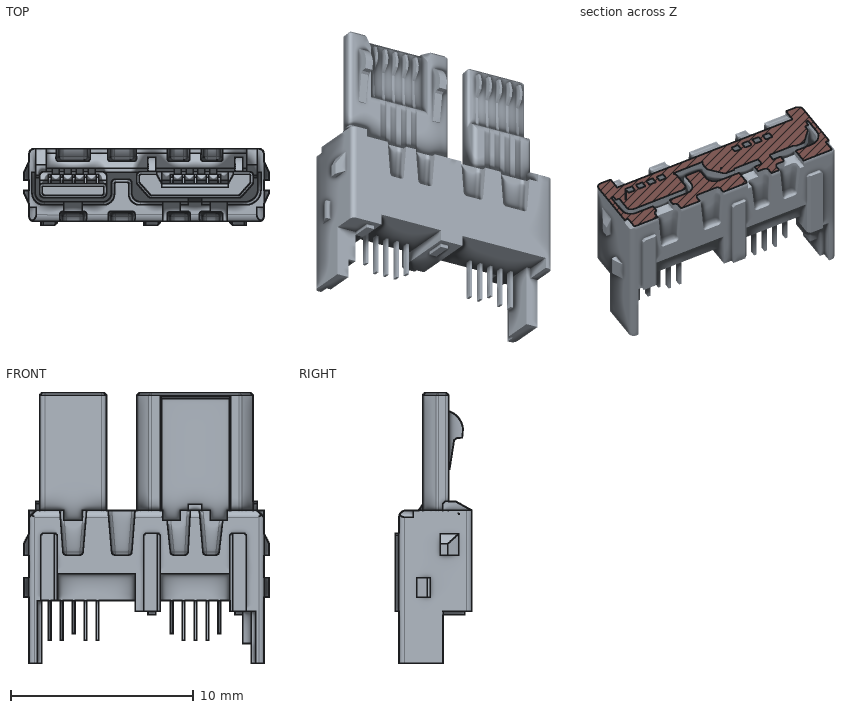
import cadquery as cq
import math


HALF_WIDTH = 6.45
DEPTH = 4.0
FLOOR_Z = 3.45
BLOCK_Z = 2.85
TOP_Z = 8.39
PLUG_Z = 14.85
MIDDLE_BLOCK = (-0.62, 0.74)
RIGHT_BLOCK = 4.57
HUMP_X = (5.51, 6.07)
CORNER_R = 0.3
TOP_ROUND = 0.39
OVERLAP = 0.15

WALL = 0.45
LEG_DEPTH = 2.42
LEG_THICK = 0.71
LEG_PAD_Y = 0.56

PLUG_FRONT = 1.29
PLUG_REAR = 2.73
PLATE_REAR = 2.08
STEP_Z = 11.27
USB_X = (-5.87, -2.18)
WIDE_X = (-0.53, 5.85)
TIP_CHAMFER = 0.15

CAVITY_Z = 5.94
CAVITY_HALF = 6.1
CAVITY_FRONT = 1.08
CAVITY_REAR = 2.7
LEAD_IN = 0.18
LEAD_IN_DEPTH = 0.35

PITCH = 0.65
PIN_WIDTH = 0.15
PIN_COUNT = 5
PIN_STARTS = (-5.3, 1.38)
SHORT_PINS = ((2,), (0, 4))

LATCH_X = (0.3, 5.06)
LATCH_WIDTH = 0.45


def box(x0, x1, y0, y1, z0, z1):
    """Block given by its limits along each axis."""
    return cq.Workplane("XY").box(x1 - x0, y1 - y0, z1 - z0, centered=False).translate((x0, y0, z0))


def prism_x(points, x0, x1):
    """Outline of (y, z) points, running from x0 to x1."""
    return cq.Workplane("YZ").polyline(points).close().extrude(x1 - x0).translate((x0, 0, 0))


def prism_z(points, z0, z1):
    """Outline of (x, y) points, running from z0 to z1."""
    return cq.Workplane("XY").polyline(points).close().extrude(z1 - z0).translate((0, 0, z0))


def both_sides(piece):
    """The piece together with its mirror image in X."""
    return piece.union(piece.mirror("YZ"))


def housing_shell():
    """Solid housing with its legs and rounded corners."""
    block = box(-HALF_WIDTH, HALF_WIDTH, 0, DEPTH, 0, TOP_Z)
    round_top = block.faces(">Z").edges("<Y").fillet(TOP_ROUND)
    shell = block.edges("|Z").fillet(CORNER_R).intersect(round_top)

    wall_x = HALF_WIDTH - WALL
    leg_x = HALF_WIDTH - LEG_THICK
    shell = shell.cut(box(-leg_x, leg_x, -OVERLAP, DEPTH + OVERLAP, 0, BLOCK_Z))
    shell = shell.cut(box(-HALF_WIDTH, HALF_WIDTH, LEG_DEPTH, DEPTH + OVERLAP, 0, BLOCK_Z))
    shell = shell.cut(both_sides(box(leg_x, wall_x, -OVERLAP, LEG_PAD_Y, 0, BLOCK_Z)))

    shell = shell.cut(box(-leg_x, MIDDLE_BLOCK[0], -OVERLAP, DEPTH + OVERLAP, 0, FLOOR_Z))
    shell = shell.cut(box(-wall_x, -leg_x, -OVERLAP, LEG_PAD_Y, 0, FLOOR_Z))
    shell = shell.cut(box(-wall_x, -leg_x, LEG_DEPTH, DEPTH + OVERLAP, 0, FLOOR_Z))
    shell = shell.cut(box(MIDDLE_BLOCK[1], RIGHT_BLOCK, -OVERLAP, DEPTH + OVERLAP, 0, FLOOR_Z))
    return shell


def leg_block():
    """Block along the inner side of the right leg."""
    inner_x, front_y, bottom_z = 5.27, 0.85, 1.08
    return box(inner_x, HALF_WIDTH - OVERLAP, front_y, LEG_DEPTH, bottom_z, BLOCK_Z + OVERLAP)


def front_panels():
    """Set-back panels low on the front face."""
    panel_top = 4.92
    set_back = 0.7
    panel_left = -4.87
    left = box(panel_left, MIDDLE_BLOCK[0], -OVERLAP, set_back, 0, panel_top)
    right = box(MIDDLE_BLOCK[1], RIGHT_BLOCK, -OVERLAP, set_back, 0, panel_top)
    return left.union(right)


def corner_bevels():
    """Bevels on the ends of the top edge, at the front corners."""
    width, height, length = 0.4, 0.37, 0.77
    bevel = (
        cq.Workplane("XZ")
        .polyline([(HALF_WIDTH - width, TOP_Z), (HALF_WIDTH, TOP_Z), (HALF_WIDTH, TOP_Z - height)])
        .close()
        .extrude(-length)
    )
    return both_sides(bevel)


def rear_slope():
    """Wedge that lowers the rear wall between the two end humps."""
    ridge_y, low_y, low_z = 2.93, 3.74, 7.96
    half = HUMP_X[0]
    points = [(ridge_y, TOP_Z), (low_y, low_z), (DEPTH + OVERLAP, low_z),
              (DEPTH + OVERLAP, TOP_Z + OVERLAP), (ridge_y, TOP_Z + OVERLAP)]
    return prism_x(points, -half, half)


def cavity():
    """Opening around the plugs, with a tongue between them and a sloped lead-in at its mouth."""
    tongue_left, tongue_right, tongue_rear = -1.93, -0.8, 2.32
    tongue_r, left_r, right_r, foot_r = 0.22, 0.49, 0.67, 0.45
    near = 0.01
    opening = box(-CAVITY_HALF, CAVITY_HALF, CAVITY_FRONT, CAVITY_REAR, CAVITY_Z, TOP_Z)
    opening = opening.edges("|Z and <Y and <X").fillet(left_r).edges("|Z and <Y and >X").fillet(right_r)
    tongue = box(tongue_left, tongue_right, CAVITY_FRONT, tongue_rear, CAVITY_Z, TOP_Z)
    opening = opening.cut(tongue.edges("|Z and >Y").fillet(tongue_r))
    foot_edges = cq.selectors.BoxSelector((tongue_left - near, CAVITY_FRONT - near, CAVITY_Z),
                                          (tongue_right + near, CAVITY_FRONT + near, TOP_Z))
    opening = opening.edges("|Z").edges(foot_edges).fillet(foot_r)

    lead_in_angle = math.degrees(math.atan2(LEAD_IN, LEAD_IN_DEPTH))
    rim = opening.faces(">Z").wires().toPending()
    mouth = rim.extrude(LEAD_IN_DEPTH, taper=-lead_in_angle, combine=False)
    mouth = mouth.translate((0, 0, -LEAD_IN_DEPTH))
    front_side = box(-HALF_WIDTH, HALF_WIDTH, 0, CAVITY_REAR, CAVITY_Z, TOP_Z)
    return opening.union(mouth.intersect(front_side))


def tapered_slot(top_x, bottom_x, depth):
    """Slot in the front face, narrowing downward and open at the top, with rounded inner edges."""
    rise = 1.48
    bottom_z = 5.94
    draft = 0.1
    inner_r = 0.2
    drift_left = (top_x[0] - bottom_x[0]) * rise / (TOP_Z - bottom_z)
    drift_right = (top_x[1] - bottom_x[1]) * rise / (TOP_Z - bottom_z)
    points = [(bottom_x[0], bottom_z), (bottom_x[1], bottom_z),
              (top_x[1] + drift_right, TOP_Z + rise), (top_x[0] + drift_left, TOP_Z + rise)]
    slot = cq.Workplane("XZ").polyline(points).close().extrude(-2 * depth)
    side = [(0, bottom_z), (depth - draft, bottom_z), (depth, TOP_Z),
            (depth, TOP_Z + rise), (0, TOP_Z + rise)]
    slot = slot.intersect(prism_x(side, top_x[0] - rise, top_x[1] + rise))
    inner_edges = cq.selectors.BoxSelector((-HALF_WIDTH, OVERLAP, 0), (HALF_WIDTH, DEPTH, TOP_Z))
    return slot.edges(inner_edges).fillet(inner_r)


def long_side_slots():
    """Four tapered slots on the front and four on the rear."""
    front_depth = 0.56
    rear_depth = 0.71
    front = (((-4.75, -3.28), (-4.57, -3.49)), ((-2.11, -0.62), (-1.9, -0.82)),
             ((1.07, 2.4), (1.32, 2.27)), ((2.9, 4.25), (3.1, 3.96)))
    rear = (((-4.99, -3.06), (-4.78, -3.27)), ((-2.15, -0.52), (-1.95, -0.73)),
            ((1.11, 2.4), (1.32, 2.2)), ((2.95, 4.22), (3.16, 4.01)))
    slots = cq.Workplane("XY")
    for top_x, bottom_x in front:
        slots = slots.union(tapered_slot(top_x, bottom_x, front_depth))
    for top_x, bottom_x in rear:
        slot = tapered_slot(top_x, bottom_x, rear_depth)
        slots = slots.union(slot.mirror("XZ").translate((0, DEPTH, 0)))
    return slots


def front_notches():
    """Square notches through the top of the front wall."""
    notch_z = 7.84
    cuts = cq.Workplane("XY")
    for x0, x1 in ((-4.53, -3.52), (0.89, 1.84), (3.5, 4.43)):
        cuts = cuts.union(box(x0, x1, -OVERLAP, CAVITY_FRONT, notch_z, TOP_Z + OVERLAP))
    return cuts


def end_humps():
    """Humps that rise behind the plugs at both ends."""
    hump_z = 8.88
    front_y, crest_y = 2.4, 3.12
    bevel = 0.12
    points = [(DEPTH, TOP_Z), (crest_y, hump_z), (front_y + bevel, hump_z), (front_y, hump_z - bevel),
              (front_y, CAVITY_Z), (DEPTH - CORNER_R, CAVITY_Z)]
    return both_sides(prism_x(points, *HUMP_X))


def key():
    """Small ramped key standing on the front wall."""
    base_z = TOP_Z - 4 * OVERLAP
    top_z = 8.72
    seat_y = CAVITY_FRONT - LEAD_IN
    points = [(seat_y, base_z), (PLUG_FRONT + OVERLAP, base_z), (PLUG_FRONT + OVERLAP, top_z),
              (PLUG_FRONT, top_z), (CAVITY_FRONT, TOP_Z), (seat_y, TOP_Z)]
    left, right = 2.3, 3.03
    return prism_x(points, left, right)


def front_ribs():
    """Three upright ribs on the front face, each bevelled along one side."""
    height, width, top_z = 0.21, 0.9, 7.15
    corner, bevel = 0.12, 0.16
    ribs = cq.Workplane("XY")
    places = ((-5.79, ">X", FLOOR_Z), (-0.15, ">X", BLOCK_Z), (RIGHT_BLOCK, "<X", BLOCK_Z))
    for left, bevel_side, bottom in places:
        rib = box(left, left + width, -height, OVERLAP, bottom, top_z)
        rib = rib.edges("|Y and >Z").chamfer(corner)
        ribs = ribs.union(rib.faces(bevel_side).edges("<Y").chamfer(bevel))
    return ribs


def side_barbs():
    """Upper snap bumps and lower barbs on both ends."""
    reach = 0.28
    tip = HALF_WIDTH + reach
    root = HALF_WIDTH - OVERLAP

    front_y, crest_y, rear_y = 2.27, 2.69, 3.28
    bottom_z, crest_z, top_z = 5.93, 6.56, 7.11
    plan = prism_z([(root, front_y), (tip, front_y), (tip, crest_y), (HALF_WIDTH, rear_y), (root, rear_y)],
                   bottom_z, top_z)
    profile = (
        cq.Workplane("XZ")
        .polyline([(root, bottom_z), (tip, bottom_z), (tip, crest_z), (HALF_WIDTH, top_z), (root, top_z)])
        .close()
        .extrude(-DEPTH)
    )

    start_y, tip_y, end_y = 0.97, 1.56, 1.71
    barb_bottom, barb_top = 3.64, 4.71
    barb = prism_z([(root, start_y), (HALF_WIDTH, start_y), (tip, tip_y), (tip, end_y), (root, end_y)],
                   barb_bottom, barb_top)
    return both_sides(plan.intersect(profile).union(barb))


def above_step(x0, x1):
    """Space behind the front plate, above the ridged and rounded top of the full-depth base."""
    clear_y = PLUG_REAR + 2 * OVERLAP
    clear_z = PLUG_Z + OVERLAP
    rear_z = 10.84
    return (
        cq.Workplane("YZ")
        .moveTo(PLATE_REAR, STEP_Z)
        .lineTo(2.25, 11.35)
        .threePointArc((2.57, 11.18), (PLUG_REAR, rear_z))
        .lineTo(clear_y, rear_z)
        .lineTo(clear_y, clear_z)
        .lineTo(PLATE_REAR, clear_z)
        .close()
        .extrude(x1 - x0)
        .translate((x0, 0, 0))
    )


def tetrahedron(a, b, c, d):
    """Solid with four corner points."""
    faces = [cq.Face.makeFromWires(cq.Wire.makePolygon([cq.Vector(*p) for p in corners], close=True))
             for corners in ((a, b, c), (a, b, d), (a, c, d), (b, c, d))]
    return cq.Workplane("XY").add(cq.Solid.makeSolid(cq.Shell.makeShell(faces)))


def usb_plug():
    """Rectangular plug: a plate on a full-depth base."""
    base = box(*USB_X, PLUG_FRONT, PLUG_REAR, CAVITY_Z, PLUG_Z)
    front_r, base_rear_r, plate_rear_r = 0.3, 0.25, 0.16
    base = base.edges("|Z and <Y").fillet(front_r).edges("|Z and >Y").fillet(base_rear_r)
    base = base.cut(above_step(*USB_X)).cut(box(*USB_X, 0, PLATE_REAR, STEP_Z, PLUG_Z))
    plate = box(*USB_X, PLUG_FRONT, PLATE_REAR, CAVITY_Z, PLUG_Z)
    plate = plate.edges("|Z and <Y").fillet(front_r).edges("|Z and >Y").fillet(plate_rear_r)
    plate = plate.faces(">Z").chamfer(TIP_CHAMFER)
    return base.union(plate)


def wide_plug():
    """Plug with slanted front corners, a shallow front panel and a contact channel."""
    left, right = WIDE_X
    slant = 0.7
    shoulder_y = 2.08
    edge_r = 0.21
    plug = prism_z([(left, PLUG_REAR), (left, shoulder_y), (left + slant, PLUG_FRONT),
                    (right - slant, PLUG_FRONT), (right, shoulder_y), (right, PLUG_REAR)],
                   CAVITY_Z, PLUG_Z)
    plug = plug.edges("|Z").fillet(edge_r).faces(">Z").chamfer(TIP_CHAMFER)

    panel_left, panel_right, panel_depth, panel_top = 0.74, 4.62, 0.09, 14.61
    panel = (
        cq.Workplane("XZ")
        .rect(panel_right - panel_left, panel_top - CAVITY_Z)
        .extrude(-panel_depth, taper=45)
        .translate(((panel_left + panel_right) / 2, PLUG_FRONT, (panel_top + CAVITY_Z) / 2))
    )
    channel_x = (0.83, 4.48)
    channel = above_step(*channel_x)
    bevel = 0.21
    mouth = prism_x([(PLATE_REAR, PLUG_Z), (PLATE_REAR - bevel, PLUG_Z), (PLATE_REAR, PLUG_Z - bevel)],
                    *channel_x)
    plug = plug.cut(panel).cut(channel).cut(mouth)

    flare, drop = 0.35, 0.68
    for x, outward in zip(channel_x, (-1, 1)):
        plug = plug.cut(tetrahedron((x, PLATE_REAR, PLUG_Z), (x, PLUG_REAR, PLUG_Z),
                                    (x + outward * flare, PLUG_REAR, PLUG_Z), (x, PLUG_REAR, PLUG_Z - drop)))
    return plug


def latches():
    """Hooked spring latches behind the wide plug and their ends under the housing."""
    inside_y = PLUG_REAR - OVERLAP
    foot_rear, foot_z = 3.61, 2.66
    hook_start, hook_end = 10.63, 13.83
    parts = cq.Workplane("XY")
    for x in LATCH_X:
        x0 = x - LATCH_WIDTH / 2
        hook = (
            cq.Workplane("YZ")
            .moveTo(inside_y, hook_start)
            .lineTo(2.78, hook_start)
            .lineTo(3.03, 12.24)
            .lineTo(3.15, 12.34)
            .lineTo(3.47, 12.37)
            .lineTo(3.52, 12.86)
            .threePointArc((3.3, 13.42), (2.76, hook_end))
            .lineTo(inside_y, hook_end)
            .close()
            .extrude(LATCH_WIDTH)
            .translate((x0, 0, 0))
        )
        foot = box(x0, x0 + LATCH_WIDTH, LEG_DEPTH, foot_rear, foot_z, BLOCK_Z + OVERLAP)
        parts = parts.union(hook).union(foot)
    return parts


def contacts():
    """Contact springs behind the plug plates and solder pins under the housing."""
    inside_y = PLATE_REAR - OVERLAP
    root_z, end_z = STEP_Z - OVERLAP, 14.4
    spring = [(inside_y, root_z), (2.25, root_z), (2.15, 12.33), (2.15, 13.1),
              (2.51, 13.48), (2.58, 13.88), (2.44, end_z), (inside_y, end_z)]
    pin_y = (1.22, 1.56)
    long_tip, short_tip = 1.26, 1.63
    parts = cq.Workplane("XY")
    for start, short in zip(PIN_STARTS, SHORT_PINS):
        for i in range(PIN_COUNT):
            x0 = start + i * PITCH - PIN_WIDTH / 2
            x1 = x0 + PIN_WIDTH
            tip_z = short_tip if i in short else long_tip
            parts = parts.union(prism_x(spring, x0, x1))
            parts = parts.union(box(x0, x1, *pin_y, tip_z, FLOOR_Z + OVERLAP))
    return parts


def divider_grooves():
    """Upright grooves between the contacts, in the rear of the plugs and the wall behind them."""
    front_y, rear_y, bottom_z = 2.58, 2.91, 7.42
    width = 0.39
    grooves = cq.Workplane("XY")
    for start in PIN_STARTS:
        for i in range(PIN_COUNT - 1):
            x0 = start + (i + 0.5) * PITCH - width / 2
            grooves = grooves.union(box(x0, x0 + width, front_y, rear_y, bottom_z, PLUG_Z))
    return grooves


housing = housing_shell().cut(front_panels()).cut(corner_bevels()).cut(rear_slope())
housing = housing.cut(cavity()).cut(long_side_slots()).cut(front_notches())

result = housing
for piece in (end_humps(), key(), front_ribs(), side_barbs(), leg_block(),
              usb_plug(), wide_plug()):
    result = result.union(piece)
result = result.cut(divider_grooves()).union(latches()).union(contacts())